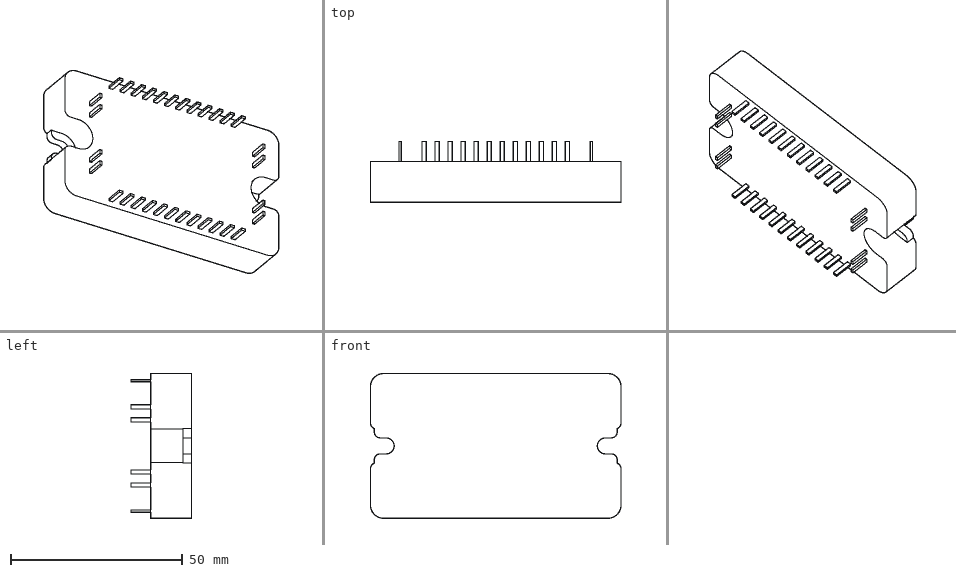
import cadquery as cq
import math

HOUSING_LENGTH = 73.34
HOUSING_HEIGHT = 42.39
HOUSING_DEPTH = 12.0
CORNER_RADIUS = 3.97

RECESS_HALF_WIDTH = 4.9
RECESS_MOUTH_RADIUS = 1.9
SCREW_CENTRE_INSET = 4.65

TAB_THICKNESS = 2.6
TAB_MOUTH_RADIUS = 1.8
TAB_INSET = 1.15
SLOT_HALF_WIDTH = 2.3

PIN_PITCH = 3.81
PIN_WIDTH = 1.3
PIN_THICKNESS = 0.7
PIN_LENGTH = 5.8
ROW_PIN_COUNT = 12
ROW_Z = 5 * PIN_PITCH
SIDE_PIN_X = 27.94
SIDE_PIN_PITCHES = (2, 3)

HALF_LENGTH = HOUSING_LENGTH / 2
SCREW_CENTRE_X = HALF_LENGTH - SCREW_CENTRE_INSET
SIGNS = (-1, 1)


def extrude_back(sketch, start, depth):
    """Extrude an XZ sketch toward +Y, from Y = start over the given depth."""
    return sketch.extrude(-depth).translate((0, start, 0))


def slot_with_flared_mouth(half_width, mouth_radius, wall_x, start, depth):
    """Round-bottomed slot cutter on the +X end, its mouth rounded into the wall at wall_x."""
    straight_end_x = wall_x - mouth_radius
    mouth_half_width = half_width + mouth_radius
    outer_x = HALF_LENGTH + mouth_radius
    flare_offset = mouth_radius * math.sin(math.radians(45))
    flare_x = straight_end_x + flare_offset
    flare_z = mouth_half_width - flare_offset
    sketch = (
        cq.Workplane("XZ")
        .moveTo(SCREW_CENTRE_X, half_width)
        .lineTo(straight_end_x, half_width)
        .threePointArc((flare_x, flare_z), (wall_x, mouth_half_width))
        .lineTo(outer_x, mouth_half_width)
        .lineTo(outer_x, -mouth_half_width)
        .lineTo(wall_x, -mouth_half_width)
        .threePointArc((flare_x, -flare_z), (straight_end_x, -half_width))
        .lineTo(SCREW_CENTRE_X, -half_width)
        .threePointArc((SCREW_CENTRE_X - half_width, 0), (SCREW_CENTRE_X, half_width))
        .close()
    )
    return extrude_back(sketch, start, depth)


def make_housing():
    """Rounded rectangular block."""
    outline = cq.Workplane("XZ").rect(HOUSING_LENGTH, HOUSING_HEIGHT)
    return extrude_back(outline, 0, HOUSING_DEPTH).edges("|Y").fillet(CORNER_RADIUS)


def make_end_cutter():
    """Everything removed at the +X end: the full-depth recess less the slotted tab."""
    recess = slot_with_flared_mouth(RECESS_HALF_WIDTH, RECESS_MOUTH_RADIUS, HALF_LENGTH, 0, HOUSING_DEPTH)
    tab_wall_x = HALF_LENGTH - TAB_INSET
    tab_outline = cq.Workplane("XZ").rect(2 * tab_wall_x, HOUSING_HEIGHT)
    tab = extrude_back(tab_outline, 0, TAB_THICKNESS)
    tab_slot = slot_with_flared_mouth(SLOT_HALF_WIDTH, TAB_MOUTH_RADIUS, tab_wall_x, 0, TAB_THICKNESS)
    return recess.cut(tab.cut(tab_slot))


def make_pins(points, size_x, size_z):
    """Rectangular pins standing on the back face at the given (x, z) points."""
    sketch = cq.Workplane("XZ").pushPoints(points).rect(size_x, size_z)
    return extrude_back(sketch, HOUSING_DEPTH, PIN_LENGTH)


def row_pin_points():
    """Pin positions of the two long rows, near the top and bottom edges."""
    first_x = -PIN_PITCH * (ROW_PIN_COUNT - 1) / 2
    return [(first_x + i * PIN_PITCH, sign * ROW_Z) for sign in SIGNS for i in range(ROW_PIN_COUNT)]


def side_pin_points():
    """Pin positions beside the mounting recesses, two above and two below each."""
    return [
        (sign_x * SIDE_PIN_X, sign_z * pitches * PIN_PITCH)
        for sign_x in SIGNS
        for sign_z in SIGNS
        for pitches in SIDE_PIN_PITCHES
    ]


end_cutter = make_end_cutter()
housing = make_housing().cut(end_cutter).cut(end_cutter.mirror("YZ"))
row_pins = make_pins(row_pin_points(), PIN_WIDTH, PIN_THICKNESS)
side_pins = make_pins(side_pin_points(), PIN_THICKNESS, PIN_WIDTH)

result = housing.union(row_pins).union(side_pins)